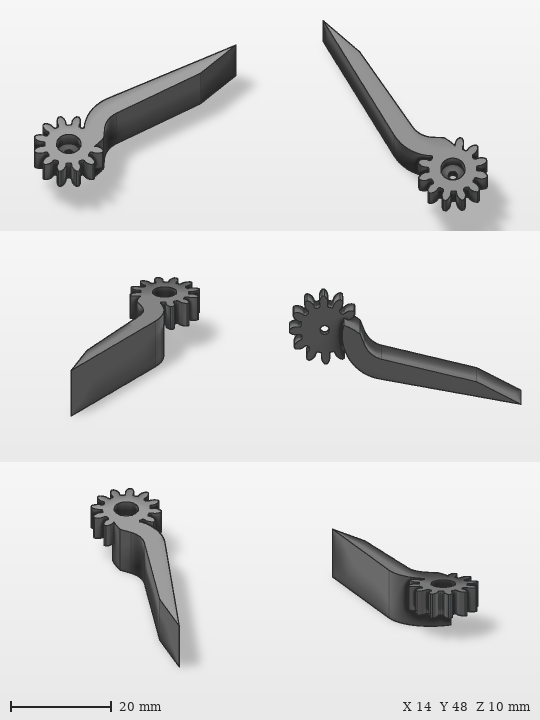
import math

import cadquery as cq

arm_height = 10.0
gear_thickness = 5.0
gear_bottom = arm_height - gear_thickness

tooth_count = 12
tip_radius = 7.0
root_radius = 4.75
neck_radius = 5.15
belly_radius = 5.85
neck_half_width = 0.75
belly_half_width = 0.8
tip_half_width = 0.25
root_fillet = 0.35

bore_diameter = 1.8
counterbore_diameter = 4.8
counterbore_depth = 3.05

tip_point = (6.0, 41.0)
tip_flat_end = (6.0, 31.0)
bend_center = (6.0, 10.95)
outer_bend_radius = 9.0
inner_bend_radius = 4.9
heel_top = (3.85, 5.95)
heel_middle = (4.05, 4.15)
heel_bottom_x = 3.95


def tangent_point(point, center, radius, side):
    """Point where the line from `point` touches a circle; side is +1 or -1."""
    dx = point[0] - center[0]
    dy = point[1] - center[1]
    angle = math.atan2(dy, dx) + side * math.acos(radius / math.hypot(dx, dy))
    return on_circle(center, radius, angle)


def on_circle(center, radius, angle):
    return (center[0] + radius * math.cos(angle), center[1] + radius * math.sin(angle))


def leftmost(center, radius):
    return on_circle(center, radius, math.pi)


def make_claw():
    outer_start = tangent_point(tip_point, bend_center, outer_bend_radius, 1)
    inner_start = tangent_point(tip_flat_end, bend_center, inner_bend_radius, 1)
    inner_end = tangent_point(heel_top, bend_center, inner_bend_radius, -1)
    heel_drop = math.sqrt(outer_bend_radius**2 - (heel_bottom_x - bend_center[0]) ** 2)
    heel_bottom = (heel_bottom_x, bend_center[1] - heel_drop)
    return (
        cq.Workplane("XY")
        .moveTo(*tip_point)
        .lineTo(*outer_start)
        .threePointArc(leftmost(bend_center, outer_bend_radius), heel_bottom)
        .threePointArc(heel_middle, heel_top)
        .lineTo(*inner_end)
        .threePointArc(leftmost(bend_center, inner_bend_radius), inner_start)
        .lineTo(*tip_flat_end)
        .close()
        .extrude(arm_height)
    )


def make_tooth(angle):
    tip_corner_x = math.sqrt(tip_radius**2 - tip_half_width**2)
    return (
        cq.Workplane("XY", origin=(0, 0, gear_bottom))
        .moveTo(0, -neck_half_width)
        .lineTo(neck_radius, -neck_half_width)
        .threePointArc((belly_radius, -belly_half_width), (tip_corner_x, -tip_half_width))
        .threePointArc((tip_radius, 0), (tip_corner_x, tip_half_width))
        .threePointArc((belly_radius, belly_half_width), (neck_radius, neck_half_width))
        .lineTo(0, neck_half_width)
        .close()
        .extrude(gear_thickness)
        .rotate((0, 0, 0), (0, 0, 1), angle)
    )


def is_root_edge(edge):
    center = edge.Center()
    return math.isclose(math.hypot(center.x, center.y), root_radius, abs_tol=0.005)


def make_pinion():
    pinion = cq.Workplane("XY", origin=(0, 0, gear_bottom)).circle(root_radius).extrude(gear_thickness)
    for index in range(tooth_count):
        pinion = pinion.union(make_tooth(index * 360.0 / tooth_count))
    return pinion.edges("|Z").filter(is_root_edge).fillet(root_fillet)


result = (
    make_pinion()
    .union(make_claw())
    .faces(">Z")
    .workplane(origin=(0, 0, arm_height))
    .cboreHole(bore_diameter, counterbore_diameter, counterbore_depth)
)